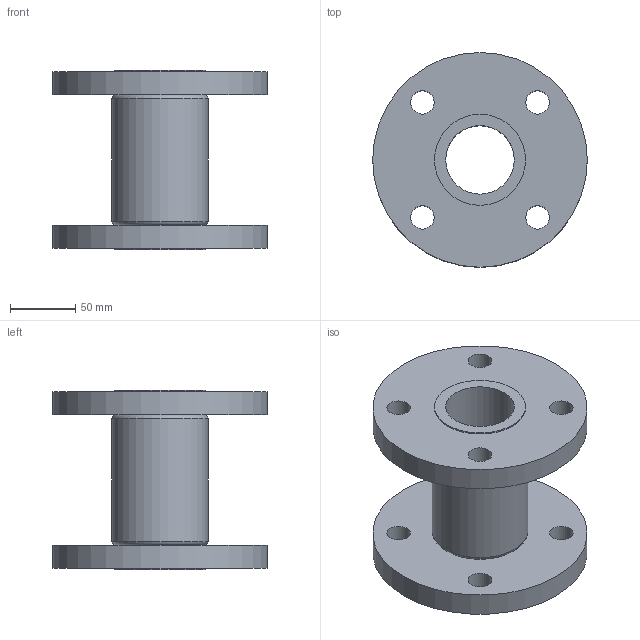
import cadquery as cq

total_height = 138.0

flange_diameter = 165.0
flange_thickness = 18.0
raised_face_diameter = 70.0
raised_face_height = 1.0

bolt_hole_count = 4
bolt_hole_diameter = 18.0
bolt_circle_diameter = 125.0
first_bolt_angle = 45.0

body_diameter = 73.8
body_edge_radius = 3.0
bore_diameter = 52.7

body_length = total_height - 2 * (flange_thickness + raised_face_height)


def disc(diameter, bottom, height):
    """Solid cylinder on the Z axis, starting at the given bottom level."""
    return cq.Workplane("XY").workplane(offset=bottom).circle(diameter / 2).extrude(height)


def make_body():
    """Central barrel with rounded end edges, centred on the origin."""
    barrel = disc(body_diameter, -body_length / 2, body_length)
    return barrel.edges("%CIRCLE").fillet(body_edge_radius)


def make_upper_flange():
    """Flange above the barrel, with its raised sealing face on top."""
    flange = disc(flange_diameter, body_length / 2, flange_thickness)
    face_bottom = body_length / 2 + flange_thickness
    return flange.union(disc(raised_face_diameter, face_bottom, raised_face_height))


def make_bolt_holes():
    """Cutters on the bolt circle that pass through both flanges."""
    return (
        cq.Workplane("XY")
        .workplane(offset=-total_height / 2)
        .polarArray(bolt_circle_diameter / 2, first_bolt_angle, 360, bolt_hole_count)
        .circle(bolt_hole_diameter / 2)
        .extrude(total_height)
    )


upper_flange = make_upper_flange()
lower_flange = upper_flange.mirror("XY")
bore = disc(bore_diameter, -total_height / 2, total_height)

result = make_body().union(upper_flange).union(lower_flange).cut(make_bolt_holes()).cut(bore)